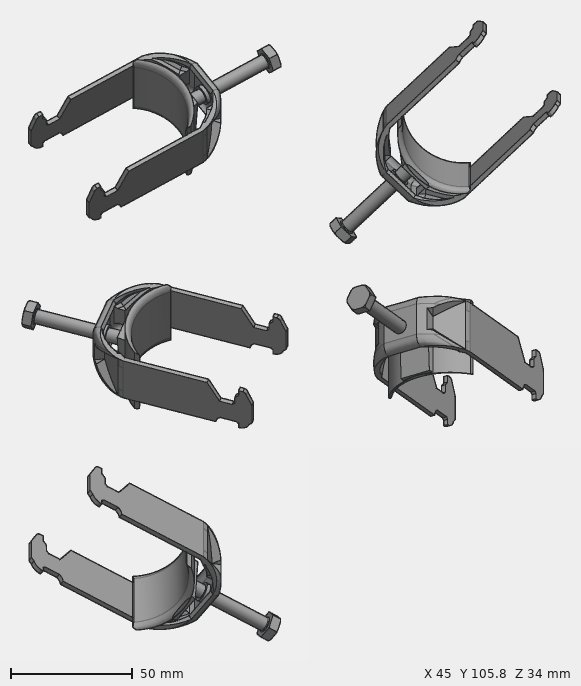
import cadquery as cq
import math


SHEET = 2.0
STRAP_HALF_X = 22.5
STRAP_HALF_Z = 11.3
CROWN_Y = 74.0
CROWN_HALF_X = 7.9
SPRING_Y = 55.9
SHOULDER_MID = (17.5, 66.8)
RIM_MID = (16.5, 66.5)
CURL_DROP = 3.4
CURL_START_Z = 7.0
INNER_CURL_DROP = 2.5
INNER_CURL_END_Z = 9.5
CURL_EDGE = 0.1
ROUNDING_ANGLES = (0, 30, 60, 90)
ARM_INNER_X = STRAP_HALF_X - SHEET

DENT_STEP_X = 11.8
DENT_TOP_Y = 67.6
DENT_MID = (17.1, 63.1)
DENT_END = (22.3, 58.0)
DENT_BACK_TOP_Y = 66.2
DENT_BACK_MID = (15.2, 62.1)
DENT_NECK_HALF_Z = 2.9
DENT_DRAFT = 33
DENT_REACH = 6.3
DENT_WALL = 1.7

HOOK_SHOULDER_Y = 5.8
NECK_TOP_Z = 1.8
NECK_BOTTOM_Z = -8.1

COLLAR_DIAMETER = 8.2
COLLAR_LENGTH = 1.7

BOLT_Z = -1.5
BOLT_DIAMETER = 6.0
BOLT_TOP_Y = 105.8
HEAD_HEIGHT = 4.1
HEAD_FLATS = 10.4
HEAD_CHAMFER = 0.5
NECK_FLARE = 0.4
BOLT_INSET = 0.6

SADDLE_HALF_X = 20.0
SADDLE_TOP_Z = 15.1
SADDLE_BOTTOM_Z = -18.9
SADDLE_OUTER_Y = 61.4
SADDLE_INNER_Y = 58.7
SADDLE_TIP_Y = 51.7
SADDLE_FOOT_Y = 49.7
SADDLE_INNER_RADIUS = 25.1
FLARE_HEIGHT = 3.0
RIM_LAND = 0.2
BOTTOM_DIP_HALF_X = 6.3
BOTTOM_DIP = 0.5

BLOCK_TOP_Z = 6.3
BLOCK_BOTTOM_Z = -18.4
BLOCK_TOP_Y = 63.9
BLOCK_BOTTOM_Y = 62.5
BLOCK_BACK_HALF_X = 6.9
BLOCK_FRONT_HALF_X = 7.5

BEYOND = 95.2


def cylinder_y(diameter, y_start, y_end):
    """Cylinder on the bolt axis between two Y positions."""
    return (
        cq.Workplane("XZ", origin=(0, y_start, BOLT_Z))
        .circle(diameter / 2)
        .extrude(y_start - y_end)
    )


def u_wire(z, crown_y, crown_half_x, shoulder_mid, arm_x):
    """Closed inverted-U outline at height z, from the arm ends up over the crown."""
    mid_x, mid_y = shoulder_mid
    outline = (
        cq.Workplane("XY", origin=(0, 0, z))
        .moveTo(-arm_x, 0)
        .lineTo(-arm_x, SPRING_Y)
        .threePointArc((-mid_x, mid_y), (-crown_half_x, crown_y))
        .lineTo(crown_half_x, crown_y)
        .threePointArc((mid_x, mid_y), (arm_x, SPRING_Y))
        .lineTo(arm_x, 0)
        .close()
    )
    return outline.val()


def between(start, end, fraction):
    return tuple(a + fraction * (b - a) for a, b in zip(start, end))


def inward(point):
    """Shift a shoulder point inward by the sheet thickness, at the shoulder's slope."""
    slope = math.atan2(CROWN_Y - SPRING_Y, STRAP_HALF_X - CROWN_HALF_X)
    return point[0] - SHEET * math.sin(slope), point[1] - SHEET * math.cos(slope)


def curl_wires(height, drop, crown_y, mids, arm_x):
    """Outlines at stations up a quarter-elliptic curl of the crown's rim."""
    wires = []
    for angle in map(math.radians, ROUNDING_ANGLES):
        fall = 1 - math.cos(angle)
        mid = between(*mids, fall)
        z = CURL_START_Z + height * math.sin(angle)
        wires.append(u_wire(z, crown_y - fall * drop, CROWN_HALF_X, mid, arm_x))
    return wires


def curled_solid(wires):
    """Solid of constant outline up to the curl, then smooth through it, mirrored about Z = 0."""
    core = cq.Solid.extrudeLinear(wires[0], [], cq.Vector(0, 0, -CURL_START_Z))
    upper = cq.Workplane(core).union(cq.Workplane(cq.Solid.makeLoft(wires, False)))
    return upper.union(upper.mirror("XY"))


def strap_envelope():
    height = STRAP_HALF_Z - CURL_START_Z
    wires = curl_wires(height, CURL_DROP, CROWN_Y, (SHOULDER_MID, RIM_MID), STRAP_HALF_X)
    return curled_solid(wires)


def strap_hollow():
    mids = (inward(SHOULDER_MID), inward(RIM_MID))
    height = INNER_CURL_END_Z - CURL_START_Z
    wires = curl_wires(height, INNER_CURL_DROP, CROWN_Y - SHEET, mids, ARM_INNER_X)
    rim_y = CROWN_Y - CURL_DROP - CURL_EDGE
    rim_wire = u_wire(STRAP_HALF_Z, rim_y, CROWN_HALF_X, mids[1], ARM_INNER_X)
    edge = cq.Workplane(cq.Solid.makeLoft([wires[-1], rim_wire], True))
    return curled_solid(wires).union(edge).union(edge.mirror("XY"))


def dent_region(step_x, top_y, mid, end):
    """Everything outside one face of the dent on the +X shoulder."""
    return (
        cq.Workplane("XY", origin=(0, 0, -STRAP_HALF_Z))
        .moveTo(step_x, BEYOND)
        .lineTo(step_x, top_y)
        .threePointArc(mid, end)
        .lineTo(BEYOND, end[1])
        .lineTo(BEYOND, BEYOND)
        .close()
        .extrude(2 * STRAP_HALF_Z)
    )


def dent_window(margin):
    """Drafted pocket along the shoulder's slope, fanning out toward the arm and grown by a margin."""
    run = DENT_END[0] - DENT_STEP_X
    fall = DENT_TOP_Y - DENT_END[1]
    length = math.hypot(run, fall)
    floor = cq.Plane(
        origin=(DENT_STEP_X, DENT_TOP_Y, 0),
        xDir=(run, -fall, 0),
        normal=(fall, run, 0),
    )
    neck = DENT_NECK_HALF_Z + margin
    fan = STRAP_HALF_Z + margin
    outline = [(-length, neck), (0, neck), (length, fan), (length, -fan), (0, -neck), (-length, -neck)]
    pocket = cq.Workplane(floor).polyline(outline).close().extrude(DENT_REACH, taper=-DENT_DRAFT)
    base = cq.Workplane(floor).polyline(outline).close().extrude(-DENT_REACH)
    return pocket.union(base)


def hook_outline():
    """Side outline of the strap: a plain band ending in hooks."""
    return (
        cq.Workplane("YZ", origin=(-BEYOND, 0, 0))
        .moveTo(BEYOND, STRAP_HALF_Z)
        .lineTo(19.5, STRAP_HALF_Z)
        .lineTo(14.1, NECK_TOP_Z)
        .lineTo(8.6, NECK_TOP_Z)
        .lineTo(7.5, 2.9)
        .lineTo(7.5, 6.2)
        .lineTo(HOOK_SHOULDER_Y, 8.2)
        .lineTo(HOOK_SHOULDER_Y, STRAP_HALF_Z)
        .lineTo(3.9, STRAP_HALF_Z)
        .threePointArc((3.1, 10.8), (2.4, 9.7))
        .lineTo(0, 4.1)
        .lineTo(0, -6.6)
        .lineTo(1.3, -8.0)
        .threePointArc((2.7, -10.3), (4.9, -STRAP_HALF_Z))
        .lineTo(HOOK_SHOULDER_Y, -STRAP_HALF_Z)
        .lineTo(HOOK_SHOULDER_Y, -9.0)
        .lineTo(6.7, NECK_BOTTOM_Z)
        .lineTo(13.7, NECK_BOTTOM_Z)
        .threePointArc((15.0, -9.4), (15.7, -STRAP_HALF_Z))
        .lineTo(BEYOND, -STRAP_HALF_Z)
        .close()
        .extrude(2 * BEYOND)
    )


def make_strap():
    envelope = strap_envelope()
    strap = envelope.cut(strap_hollow())

    back_end = (ARM_INNER_X, SPRING_Y)
    back_step_x = DENT_STEP_X - SHEET
    backing = dent_region(back_step_x, DENT_BACK_TOP_Y, DENT_BACK_MID, back_end)
    backing = backing.intersect(dent_window(DENT_WALL)).intersect(envelope)
    dent = dent_region(DENT_STEP_X, DENT_TOP_Y, DENT_MID, DENT_END).intersect(dent_window(0))
    strap = strap.union(backing).union(backing.mirror("YZ"))
    strap = strap.cut(dent).cut(dent.mirror("YZ"))

    crown_inner_y = CROWN_Y - SHEET
    collar = cylinder_y(COLLAR_DIAMETER, crown_inner_y - COLLAR_LENGTH, crown_inner_y)
    bolt_hole = cylinder_y(BOLT_DIAMETER, crown_inner_y - COLLAR_LENGTH, CROWN_Y)
    return strap.union(collar).cut(bolt_hole).intersect(hook_outline())


def make_bolt():
    head_base_y = BOLT_TOP_Y - HEAD_HEIGHT
    corner_diameter = HEAD_FLATS / math.cos(math.pi / 6)
    head = (
        cq.Workplane("XZ", origin=(0, BOLT_TOP_Y, BOLT_Z))
        .polygon(6, corner_diameter)
        .extrude(HEAD_HEIGHT)
    )
    rounded = cylinder_y(corner_diameter, head_base_y, BOLT_TOP_Y)
    rounded = rounded.faces(">Y").chamfer(HEAD_CHAMFER)
    shank = cylinder_y(BOLT_DIAMETER, BLOCK_TOP_Y - BOLT_INSET, head_base_y)
    neck = cq.Workplane(
        cq.Solid.makeCone(
            BOLT_DIAMETER / 2 + NECK_FLARE,
            BOLT_DIAMETER / 2,
            NECK_FLARE,
            cq.Vector(0, head_base_y, BOLT_Z),
            cq.Vector(0, -1, 0),
        )
    )
    return head.intersect(rounded).union(shank).union(neck)


def saddle_back_radius():
    rise = SADDLE_OUTER_Y - SADDLE_TIP_Y
    return (SADDLE_HALF_X**2 + rise**2) / (2 * rise)


def saddle_blank():
    return (
        cq.Workplane("XY", origin=(0, 0, SADDLE_BOTTOM_Z))
        .moveTo(-SADDLE_HALF_X, SADDLE_FOOT_Y)
        .lineTo(-SADDLE_HALF_X, SADDLE_TIP_Y)
        .threePointArc((0, SADDLE_OUTER_Y), (SADDLE_HALF_X, SADDLE_TIP_Y))
        .lineTo(SADDLE_HALF_X, SADDLE_FOOT_Y)
        .close()
        .extrude(SADDLE_TOP_Z - SADDLE_BOTTOM_Z)
    )


def saddle_bore():
    """Round bore of the saddle with quarter-elliptic flares that thin both rims to a narrow land."""
    inner = (SADDLE_INNER_RADIUS, SADDLE_INNER_Y)
    rim = (saddle_back_radius(), SADDLE_OUTER_Y - RIM_LAND)
    bore_height = SADDLE_TOP_Z - SADDLE_BOTTOM_Z - 2 * FLARE_HEIGHT
    mid_z = (SADDLE_TOP_Z + SADDLE_BOTTOM_Z) / 2

    def ring(z, radius, apex_y):
        return cq.Wire.makeCircle(radius, cq.Vector(0, apex_y - radius, z), cq.Vector(0, 0, 1))

    rings = []
    for angle in map(math.radians, ROUNDING_ANGLES):
        z = SADDLE_TOP_Z - FLARE_HEIGHT * (1 - math.sin(angle))
        rings.append(ring(z, *between(inner, rim, 1 - math.cos(angle))))
    flare = cq.Workplane(cq.Solid.makeLoft(rings, False))
    bore = cq.Workplane(cq.Solid.extrudeLinear(rings[0], [], cq.Vector(0, 0, -bore_height)))
    return bore.union(flare).union(flare.mirror("XY", (0, 0, mid_z)))


def make_saddle():
    dip = (
        cq.Workplane("XZ")
        .moveTo(-BOTTOM_DIP_HALF_X, SADDLE_BOTTOM_Z)
        .threePointArc((0, SADDLE_BOTTOM_Z + BOTTOM_DIP), (BOTTOM_DIP_HALF_X, SADDLE_BOTTOM_Z))
        .close()
        .extrude(-BEYOND)
    )
    return saddle_blank().cut(saddle_bore()).cut(dip)


def make_block():
    """Tapered block whose front follows the saddle's back, with a socket for the bolt end."""
    front_y = SADDLE_INNER_Y

    def section(z, back_y):
        corners = [
            (-BLOCK_FRONT_HALF_X, front_y),
            (BLOCK_FRONT_HALF_X, front_y),
            (BLOCK_BACK_HALF_X, back_y),
            (-BLOCK_BACK_HALF_X, back_y),
        ]
        return cq.Workplane("XY", origin=(0, 0, z)).polyline(corners).close().val()

    ends = [section(BLOCK_BOTTOM_Z, BLOCK_BOTTOM_Y), section(BLOCK_TOP_Z, BLOCK_TOP_Y)]
    taper = cq.Workplane(cq.Solid.makeLoft(ends, True))
    radius = saddle_back_radius()
    saddle_back = (
        cq.Workplane("XY", origin=(0, SADDLE_OUTER_Y - radius, BLOCK_BOTTOM_Z))
        .circle(radius)
        .extrude(BLOCK_TOP_Z - BLOCK_BOTTOM_Z)
    )
    socket = cylinder_y(BOLT_DIAMETER, BLOCK_TOP_Y - BOLT_INSET, CROWN_Y)
    return taper.cut(saddle_back).cut(socket)


strap = make_strap()
bolt = make_bolt()
saddle = make_saddle()
block = make_block()

bodies = [strap, bolt, saddle, block]
result = cq.Compound.makeCompound([body.solids().val() for body in bodies])